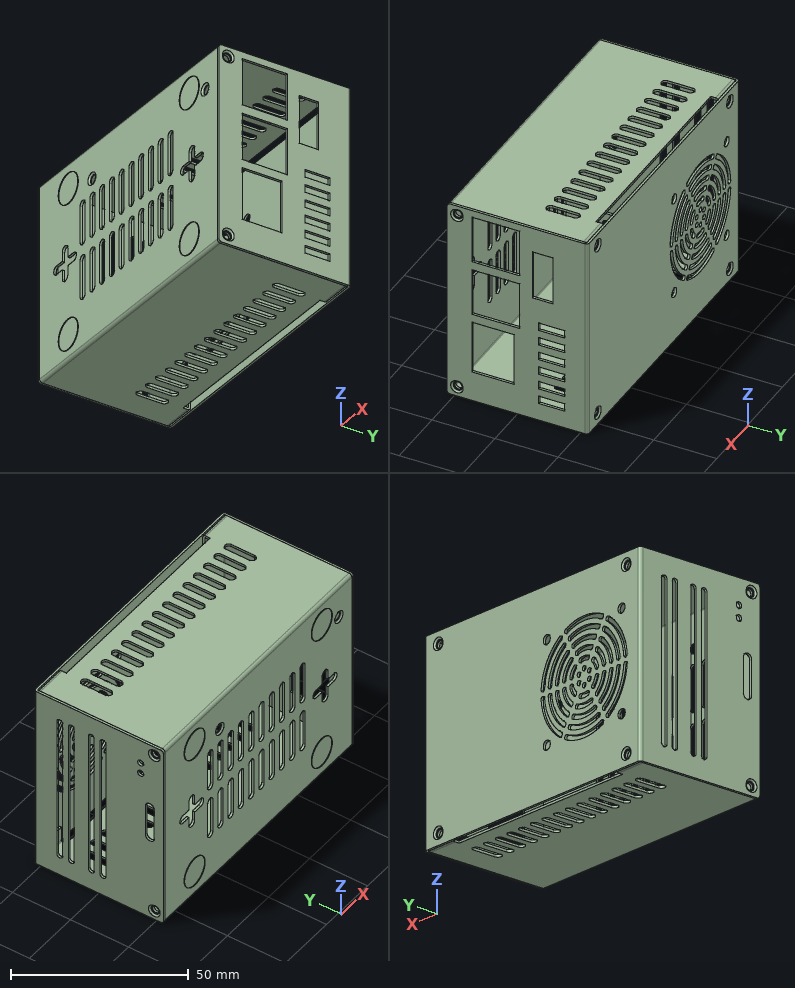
import cadquery as cq
import math

width = 92.6
depth = 44.8
height = 65.0
sheet = 0.8
bend_radius = 1.0
inner_bend_radius = bend_radius - sheet

left = -width / 2
right = width / 2
front = -depth / 2
back = depth / 2
top = height / 2

base_width = width - 2 * sheet
base_depth = depth - sheet
base_back = front + base_depth

flange_height = 6.0
notch_width = 70.0
notch_front = base_back - 2.5

tab_size = 6.0

vent_pitch = 5.0
vent_width = 2.5
panel_vent_count = 15
panel_vent_length = 10.5
panel_vent_y = 8.65

front_vent_count = 10
front_vent_length = 14.5
front_vent_x = -1.0
front_vent_z = 9.0

cross_x = 32.5
cross_length = 11.6
cross_arm_width = 2.8
foot_x = 31.0
foot_z = 24.0
foot_diameter = 10.0
foot_depth = 0.2
board_hole_spacing = 58.0
board_hole_middle_x = 10.2
board_hole_z = 21.0

screw_diameter = 2.9
tapped_diameter = 2.3
screw_head_diameter = 4.0
countersink_angle = 90
screw_inset = 3.2
side_screw_y = front + screw_inset
side_screw_z = top - screw_inset
back_screw_x = (notch_width + base_width) / 4
back_screw_z = 28.6

left_slot_ys = (13.4, 9.4, 2.5, -1.5)
left_slot_length = 52.0
left_slot_width = 2.0
light_hole_y = -14.5
light_hole_zs = (24.1, 20.2)
light_hole_diameter = 2.0
card_slot_y = -17.7
card_slot_z = 3.4
card_slot_length = 14.0
card_slot_width = 3.0

right_vent_count = 6
right_vent_top_z = -0.5
right_vent_front = 6.7
right_vent_back = 15.0
port_front = -14.5
usb_size = 15.2
usb_zs = (22.6, 4.6)
network_height = 13.4
network_width = 17.0
network_z = -14.2
socket_y = 8.0
socket_z = 16.6
socket_height = 6.5
socket_width = 15.7

fan_x = -22.3
hole_ring_radius = 2.56
slot_ring_count = 5
ring_pitch = 3.04
ring_width = 1.5
spoke_count = 6
spoke_width = 1.4
fan_hole_spacing = 32.0
fan_hole_diameter = 3.0


def front_plane(y):
    """Sketch plane parallel to XZ at y, with X right, Z up and normal -Y."""
    return cq.Workplane("XZ", origin=(0, y, 0))


def side_plane(x):
    """Sketch plane parallel to YZ at x, with Y right, Z up and normal +X."""
    return cq.Workplane("YZ", origin=(x, 0, 0))


def centred_row(count, pitch, middle=0):
    """Positions of evenly spaced features around a middle position."""
    return [middle + (i - (count - 1) / 2) * pitch for i in range(count)]


def side_screw_points():
    return [(side_screw_y, side_screw_z), (side_screw_y, -side_screw_z)]


def back_screw_points():
    return [(x, z) for x in (-back_screw_x, back_screw_x) for z in (-back_screw_z, back_screw_z)]


def cover_cavity():
    """Space enclosed by the three walls of the cover, rounded at its rear corners."""
    return (
        cq.Workplane("XY").center(0, -sheet / 2).rect(base_width, base_depth)
        .extrude(height / 2, both=True).edges("|Z and >Y").fillet(inner_bend_radius)
    )


def folded_base():
    """C-shaped sheet: front plate, top and bottom panels, short rear flanges
    with corners that clear the bends of the cover.
    """
    middle_y = (front + base_back) / 2
    outer = (
        side_plane(0).center(middle_y, 0).rect(base_depth, height)
        .extrude(base_width / 2, both=True).edges("|X").fillet(bend_radius)
    )
    inner = (
        side_plane(0).center(middle_y, 0).rect(base_depth - 2 * sheet, height - 2 * sheet)
        .extrude(base_width / 2, both=True).edges("|X").fillet(inner_bend_radius)
    )
    open_back = (
        front_plane(base_back).rect(base_width, height - 2 * flange_height).extrude(2 * sheet)
    )
    return outer.cut(inner).cut(open_back).intersect(cover_cavity())


def flange_notches():
    """Rectangular gaps in the rear edges of the top and bottom panels."""
    gap_depth = base_back - notch_front
    return (
        cq.Workplane("XY").center(0, notch_front + gap_depth / 2)
        .rect(notch_width, gap_depth).extrude(height / 2, both=True)
    )


def panel_vents():
    points = [(x, panel_vent_y) for x in centred_row(panel_vent_count, vent_pitch)]
    return (
        cq.Workplane("XY").pushPoints(points)
        .slot2D(panel_vent_length, vent_width, 90).extrude(height / 2, both=True)
    )


def front_vents():
    columns = centred_row(front_vent_count, vent_pitch, front_vent_x)
    points = [(x, z) for x in columns for z in (front_vent_z, -front_vent_z)]
    return (
        front_plane(front).pushPoints(points)
        .slot2D(front_vent_length, vent_width, 90).extrude(-sheet)
    )


def hanging_crosses():
    points = [(-cross_x, 0), (cross_x, 0)]
    level_arms, upright_arms = [
        front_plane(front).pushPoints(points)
        .slot2D(cross_length, cross_arm_width, angle).extrude(-sheet)
        for angle in (0, 90)
    ]
    return level_arms.union(upright_arms)


def foot_recesses():
    points = [(x, z) for x in (-foot_x, foot_x) for z in (-foot_z, foot_z)]
    return front_plane(front).pushPoints(points).circle(foot_diameter / 2).extrude(-foot_depth)


def add_screw_tabs(base):
    """Tapped tabs in the four front corners, flat against the side walls."""
    tab_y = front + sheet + tab_size / 2
    tab_z = top - sheet - tab_size / 2
    for tab_x, inward in ((-base_width / 2, sheet), (base_width / 2, -sheet)):
        tabs = (
            side_plane(tab_x).pushPoints([(tab_y, tab_z), (tab_y, -tab_z)])
            .rect(tab_size, tab_size).extrude(inward)
        )
        base = base.union(tabs)
    holes = (
        side_plane(0).pushPoints(side_screw_points())
        .circle(tapped_diameter / 2).extrude(base_width / 2, both=True)
    )
    return base.cut(holes)


def flange_screw_holes():
    """Tapped holes in the rear flanges."""
    return (
        front_plane(base_back).pushPoints(back_screw_points())
        .circle(tapped_diameter / 2).extrude(sheet)
    )


def make_base():
    base = folded_base().cut(flange_notches()).cut(panel_vents())
    base = base.cut(front_vents()).cut(hanging_crosses()).cut(foot_recesses())
    base = add_screw_tabs(base).cut(flange_screw_holes())
    board_holes = [(x, board_hole_z) for x in centred_row(2, board_hole_spacing, board_hole_middle_x)]
    return base.copyWorkplane(front_plane(front)).pushPoints(board_holes).cskHole(
        screw_diameter, screw_head_diameter, countersink_angle, depth=sheet
    )


def folded_cover():
    """U-shaped sheet: left wall, back wall and right wall."""
    outer = cq.Workplane("XY").rect(width, depth).extrude(height / 2, both=True)
    outer = outer.edges("|Z and >Y").fillet(bend_radius)
    return outer.cut(cover_cavity()).edges("|X and <Y").fillet(bend_radius)


def left_wall_openings():
    wall = side_plane(left)
    slots = (
        wall.pushPoints([(y, 0) for y in left_slot_ys])
        .slot2D(left_slot_length, left_slot_width, 90).extrude(sheet)
    )
    light_holes = (
        wall.pushPoints([(light_hole_y, z) for z in light_hole_zs])
        .circle(light_hole_diameter / 2).extrude(sheet)
    )
    card_slot = (
        wall.center(card_slot_y, card_slot_z)
        .slot2D(card_slot_length, card_slot_width, 90).extrude(sheet)
    )
    return slots.add(light_holes).add(card_slot).combine()


def right_wall_openings():
    wall = side_plane(right)
    vent_y = (right_vent_front + right_vent_back) / 2
    vent_points = [(vent_y, right_vent_top_z - i * vent_pitch) for i in range(right_vent_count)]
    openings = (
        wall.pushPoints(vent_points)
        .rect(right_vent_back - right_vent_front, vent_width).extrude(-sheet)
    )
    windows = [(port_front + usb_size / 2, z, usb_size, usb_size) for z in usb_zs]
    windows.append((port_front + network_height / 2, network_z, network_height, network_width))
    windows.append((socket_y, socket_z, socket_height, socket_width))
    for y, z, size_y, size_z in windows:
        openings.add(side_plane(right).center(y, z).rect(size_y, size_z).extrude(-sheet))
    return openings.combine()


def arc_slot(wall, radius, middle_angle):
    """Curved slot with round ends, fitted between two spokes of the grille."""
    spoke_angle = math.asin((spoke_width + ring_width) / 2 / radius)
    half_angle = math.pi / spoke_count - spoke_angle
    start = middle_angle - half_angle
    end = middle_angle + half_angle
    overrun = ring_width / 2 / radius

    def point(distance, angle):
        return (distance * math.cos(angle), distance * math.sin(angle))

    inner = radius - ring_width / 2
    outer = radius + ring_width / 2
    return (
        wall.moveTo(*point(outer, start))
        .threePointArc(point(outer, middle_angle), point(outer, end))
        .threePointArc(point(radius, end + overrun), point(inner, end))
        .threePointArc(point(inner, middle_angle), point(inner, start))
        .threePointArc(point(radius, start - overrun), point(outer, start))
        .close().extrude(sheet)
    )


def fan_grille():
    """Rings of curved slots between radial spokes, with round holes as the innermost ring."""
    wall = front_plane(back).center(fan_x, 0)
    angle_step = 2 * math.pi / spoke_count
    grille = (
        wall.polarArray(hole_ring_radius, math.degrees(angle_step / 2), 360, spoke_count)
        .circle(ring_width / 2).extrude(sheet)
    )
    for ring in range(1, slot_ring_count + 1):
        radius = hole_ring_radius + ring * ring_pitch
        for sector in range(spoke_count):
            grille.add(arc_slot(wall, radius, (sector + 0.5) * angle_step))
    return grille.combine()


def fan_screw_holes():
    """Four holes in a square around the fan grille."""
    return (
        front_plane(back).center(fan_x, 0).rect(fan_hole_spacing, fan_hole_spacing, forConstruction=True)
        .vertices().circle(fan_hole_diameter / 2).extrude(sheet)
    )


def make_cover():
    cover = folded_cover()
    cover = cover.cut(left_wall_openings()).cut(right_wall_openings()).cut(fan_grille())
    cover = cover.cut(fan_screw_holes())
    left_face = cq.Workplane(cq.Plane(origin=(left, 0, 0), xDir=(0, -1, 0), normal=(-1, 0, 0)))
    back_face = cq.Workplane(cq.Plane(origin=(0, back, 0), xDir=(1, 0, 0), normal=(0, 1, 0)))
    screw_faces = (
        (left_face, [(-y, z) for y, z in side_screw_points()]),
        (side_plane(right), side_screw_points()),
        (back_face, back_screw_points()),
    )
    for face, points in screw_faces:
        cover = cover.copyWorkplane(face).pushPoints(points).cskHole(
            screw_diameter, screw_head_diameter, countersink_angle, depth=sheet
        )
    return cover


base = make_base()
cover = make_cover()
result = cq.Compound.makeCompound([base.val(), cover.val()])